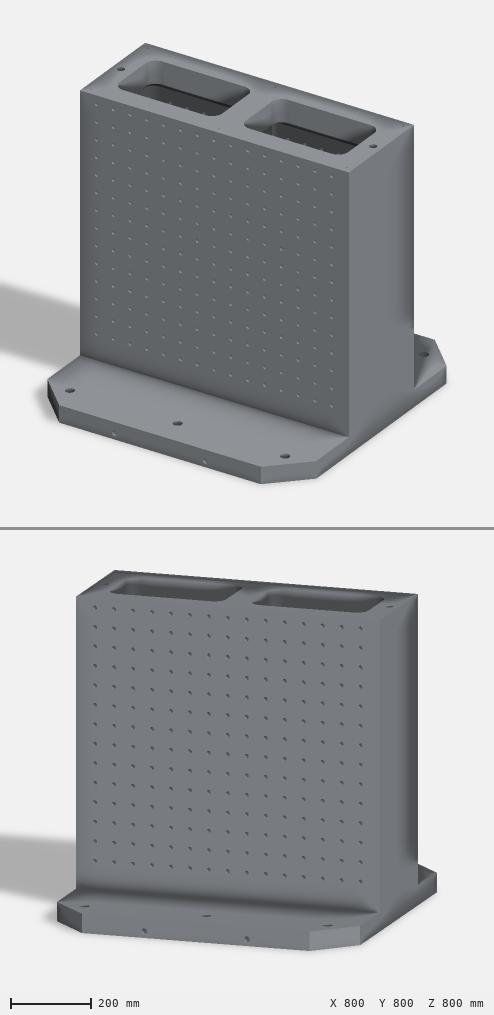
import cadquery as cq
import math

base_side = 800.0
base_height = 50.0
base_corner = 100.0

total_height = 800.0
column_depth = 300.0
column_top_y = column_depth / 2

side_wall = 40.0
cavity_length = base_side - 2 * side_wall
cavity_depth = column_depth - 2 * side_wall
cavity_radius = 30.0

opening_wall = 60.0
opening_gap = 70.0
opening_length = base_side / 2 - opening_wall - opening_gap / 2
opening_depth = column_depth - 2 * opening_wall
opening_x = (opening_length + opening_gap) / 2
top_thickness = 66.0
slope_angle = 45
slope_height = (opening_wall - side_wall) / math.tan(math.radians(slope_angle))
slope_top_z = total_height - top_thickness
slope_bottom_z = slope_top_z - slope_height

rib_height = 10.0
rib_width = 19.0
pad_diameter = 128.0
pad_z = total_height / 2

window_length = 225.0
window_depth = 200.0
window_corner = 30.0
window_x = 187.0

grid_columns = 15
grid_rows = 14
grid_width = 700.0
grid_pitch = grid_width / (grid_columns - 1)
grid_diameter = 10.0
grid_hole_depth = side_wall
grid_top_z = total_height - grid_pitch / 2

drill_angle = 118

mount_diameter = 18.0
mount_bore_diameter = 26.0
mount_bore_depth = 24.0
mount_xs = (-320.0, 0.0, 320.0)
mount_y = 320.0

lift_diameter = 21.0
lift_depth = 40.0
lift_x = 375.0
pin_diameter = 5.0
pin_depth = 16.0
pin_inset = 20.0

edge_diameter = 14.0
edge_depth = 24.0
edge_x = 135.0
edge_z = 18.0


def cylinder(x, y, z, diameter, length, direction):
    """Cylinder starting at a point and running along a direction."""
    return cq.Solid.makeCylinder(diameter / 2, length, cq.Vector(x, y, z), cq.Vector(*direction))


def drilled_hole(x, y, z, diameter, depth, direction):
    """Blind hole whose full-diameter depth ends in a drill-point cone."""
    radius = diameter / 2
    axis = cq.Vector(*direction)
    cone_base = cq.Vector(x, y, z) + axis * depth
    cone_height = radius / math.tan(math.radians(drill_angle / 2))
    cone = cq.Solid.makeCone(radius, 0, cone_height, cone_base, axis)
    return cylinder(x, y, z, diameter, depth, direction).fuse(cone)


def make_body():
    base = cq.Workplane("XY").box(base_side, base_side, base_height, centered=(True, True, False))
    base = base.edges("|Z").chamfer(base_corner)
    column = cq.Workplane("XY").box(base_side, column_depth, total_height, centered=(True, True, False))
    return base.union(column)


def make_wall_stiffener():
    """Vertical rib with concave quarter-round flanks and a round pad, on the back wall."""
    face_y = cavity_depth / 2 - rib_height
    foot_x = rib_width / 2 + rib_height
    rib_length = slope_top_z - base_height
    rib = (
        cq.Workplane("XY")
        .box(2 * foot_x, rib_height, rib_length, centered=(True, False, False))
        .translate((0, face_y, base_height))
    )
    for x in (-foot_x, foot_x):
        rib = rib.cut(cq.Workplane(cylinder(x, face_y, base_height, 2 * rib_height, rib_length, (0, 0, 1))))
    pad = cylinder(0, face_y, pad_z, pad_diameter, rib_height, (0, 1, 0))
    return rib.union(cq.Workplane(pad))


def make_cavity():
    cavity = (
        cq.Workplane("XY")
        .workplane(offset=base_height)
        .rect(cavity_length, cavity_depth)
        .extrude(slope_bottom_z - base_height)
        .edges("|Z")
        .fillet(cavity_radius)
    )
    cavity_top = cavity.faces(">Z").wires().toPending().workplane()
    slope = cavity_top.extrude(slope_height, taper=slope_angle, combine=False)
    stiffener = make_wall_stiffener()
    return cavity.union(slope).cut(stiffener).cut(stiffener.mirror("XZ"))


def make_openings():
    return (
        cq.Workplane("XY")
        .workplane(offset=slope_top_z)
        .pushPoints([(-opening_x, 0), (opening_x, 0)])
        .rect(opening_length, opening_depth)
        .extrude(top_thickness)
        .edges("|Z")
        .fillet(cavity_radius)
    )


def make_windows():
    return (
        cq.Workplane("XY")
        .pushPoints([(-window_x, 0), (window_x, 0)])
        .rect(window_length, window_depth)
        .extrude(base_height)
        .edges("|Z")
        .chamfer(window_corner)
    )


def make_grid_holes():
    holes = []
    for side in (-1, 1):
        for column in range(grid_columns):
            x = column * grid_pitch - grid_width / 2
            for row in range(grid_rows):
                z = grid_top_z - row * grid_pitch
                holes.append(
                    cylinder(x, side * column_top_y, z, grid_diameter, grid_hole_depth, (0, -side, 0))
                )
    return holes


def make_base_holes():
    holes = []
    for side in (-1, 1):
        for x in mount_xs:
            y = side * mount_y
            holes.append(cylinder(x, y, 0, mount_diameter, base_height, (0, 0, 1)))
            holes.append(cylinder(x, y, base_height, mount_bore_diameter, mount_bore_depth, (0, 0, -1)))
        for x in (-edge_x, edge_x):
            y = side * base_side / 2
            holes.append(drilled_hole(x, y, edge_z, edge_diameter, edge_depth, (0, -side, 0)))
    return holes


def make_top_holes():
    holes = []
    for x in (-lift_x, lift_x):
        holes.append(drilled_hole(x, 0, total_height, lift_diameter, lift_depth, (0, 0, -1)))
    pin_x = base_side / 2 - pin_inset
    pin_y = column_top_y - pin_inset
    for x in (-pin_x, 0, pin_x):
        for y in (-pin_y, pin_y):
            holes.append(cylinder(x, y, total_height, pin_diameter, pin_depth, (0, 0, -1)))
    return holes


body = make_body().cut(make_cavity()).cut(make_openings()).cut(make_windows())
all_holes = make_grid_holes() + make_base_holes() + make_top_holes()
result = cq.Workplane(body.val().cut(*all_holes))